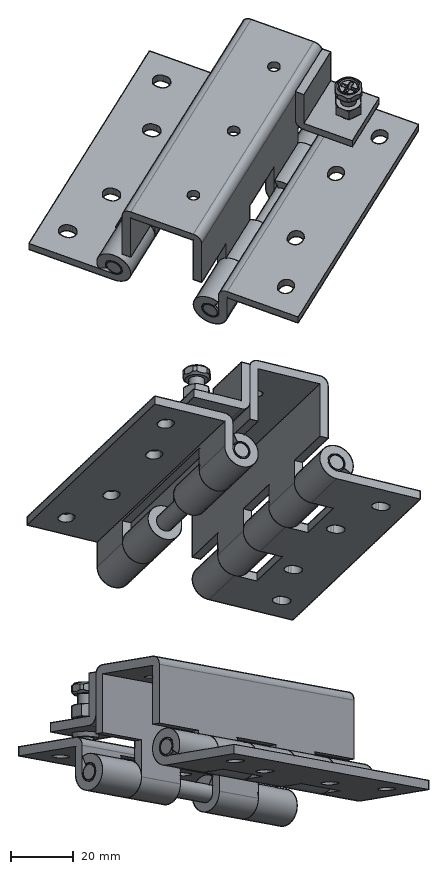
import cadquery as cq
import math

overall_width = 95.0
hinge_length = 90.0
overall_height = 40.0

knuckle_radius = 6.0
sheet = knuckle_radius / 2
pin_radius = knuckle_radius - sheet
pin_chamfer = 0.5
lip_gap_angle = 1.0
clearance = 2.0

segment_count = 5
segment = hinge_length / segment_count
half_length = hinge_length / 2

channel_left = 33.0
channel_gap = 22.0
inner_left = channel_left + sheet
inner_right = inner_left + channel_gap
channel_right = inner_right + sheet
channel_hole_diameter = 4.0
channel_hole_offset = 18.05
channel_hole_pitch = 30.0

left_axis_x = inner_left - knuckle_radius
left_axis_z = 10.0
right_axis_x = inner_right + knuckle_radius
right_axis_z = knuckle_radius

notch_top = left_axis_z + knuckle_radius + clearance
right_leaf_top = 18.0

slot_length = 6.0
slot_width = 5.0
slot_places = [(9.0, 35.0), (15.0, 15.0)]

bracket_side = 20.0
bracket_height = 17.0
bracket_top = overall_height - clearance
bracket_bottom = bracket_top - bracket_height
collar_height = 1.5
collar_top_radius = 4.5
collar_bottom_radius = 4.0

screw_x = channel_right + 14.0
screw_y = half_length - bracket_side / 2
screw_turn = -3.0
shank_radius = 2.6
screw_tip_z = 18.6
head_bottom_z = 33.6
head_height = 3.5
head_flats = 8.5
head_radius = 4.6
head_chamfer = 0.9
dish_rim_radius = 3.2
dish_floor_radius = 2.85
dish_depth = 0.6
recess_arm_width = 1.2
recess_top_reach = 2.4
recess_bottom_reach = recess_arm_width / 2
recess_depth = 1.5
nut_flats = 8.0
nut_bottom_z = 26.0
nut_height = 4.0
nut_chamfer_width = 0.5
nut_chamfer_height = 0.3


def box(x_range, y_range, z_range):
    (x0, x1), (y0, y1), (z0, z1) = x_range, y_range, z_range
    return cq.Workplane("XY").box(x1 - x0, y1 - y0, z1 - z0, centered=False).translate((x0, y0, z0))


def segment_range(first, last):
    """Y range from the start of one knuckle segment to the end of another, counted from -Y."""
    return (-half_length + first * segment, -half_length + (last + 1) * segment)


def along_y(profile, y_range):
    """Extrude a profile drawn on the XZ plane over a Y range."""
    y0, y1 = y_range
    return profile.extrude(-(y1 - y0)).translate((0, y0, 0))


def rolled_knuckle(axis_x, axis_z, start_angle, turn, y_range):
    """Sheet rolled around a hinge axis until its lip comes back to the flat of the sheet.

    The roll starts where the flat is tangent and runs anticlockwise for turn = 1,
    clockwise for turn = -1, as seen from -Y.
    """
    lip_angle = math.degrees(math.asin(pin_radius / knuckle_radius))
    sweep = 270 + lip_angle - lip_gap_angle

    def point(radius, swept):
        angle = math.radians(start_angle + turn * swept)
        return (axis_x + radius * math.cos(angle), axis_z + radius * math.sin(angle))

    profile = (
        cq.Workplane("XZ")
        .moveTo(*point(knuckle_radius, 0))
        .threePointArc(point(knuckle_radius, sweep / 2), point(knuckle_radius, sweep))
        .lineTo(*point(pin_radius, sweep))
        .threePointArc(point(pin_radius, sweep / 2), point(pin_radius, 0))
        .close()
    )
    return along_y(profile, y_range)


def slot_cutters(edge_x, inward, angle):
    """Mounting slots of one leaf; inward is the X direction away from its outer edge (1 or -1)."""
    places = [
        (edge_x + inward * offset, side * y) for offset, y in slot_places for side in (-1, 1)
    ]
    slots = cq.Workplane("XY").pushPoints(places).slot2D(slot_length, slot_width, angle)
    return slots.extrude(overall_height)


def corner_diameter(flats):
    return flats / math.cos(math.radians(30))


def hexagon(flats, bottom_z, height):
    """Hexagonal prism about Z with two of its corners in the X direction."""
    return cq.Workplane("XY").polygon(6, corner_diameter(flats)).extrude(height).translate((0, 0, bottom_z))


def revolved(points):
    """Solid of revolution about Z from (radius, z) points."""
    return cq.Workplane("XZ").polyline(points).close().revolve(360, (0, 0), (0, 1))


def place_on_screw_axis(body):
    return body.rotate((0, 0, 0), (0, 0, 1), screw_turn).translate((screw_x, screw_y, 0))


def make_left_leaf():
    bottom = left_axis_z - knuckle_radius
    full_length = (-half_length, half_length)
    leaf = box((0, left_axis_x), full_length, (bottom, bottom + sheet))
    notch_edge = left_axis_x - knuckle_radius - clearance
    for index in (1, 3):
        notch = box((notch_edge, left_axis_x), segment_range(index, index), (0, left_axis_z))
        leaf = leaf.cut(notch)
    for index in (0, 2, 4):
        leaf = leaf.union(rolled_knuckle(left_axis_x, left_axis_z, -90, 1, segment_range(index, index)))
    return leaf.cut(slot_cutters(0, 1, 0))


def make_right_leaf():
    """Z-shaped leaf with a knuckle at each end; its open middle leaves the pin bare."""
    wall_right = right_axis_x + knuckle_radius
    wall_left = wall_right - sheet
    outline = (
        cq.Workplane("XZ")
        .moveTo(wall_right, right_axis_z)
        .lineTo(wall_right, right_leaf_top - sheet)
        .lineTo(overall_width, right_leaf_top - sheet)
        .lineTo(overall_width, right_leaf_top)
        .lineTo(wall_right, right_leaf_top)
        .radiusArc((wall_left, right_leaf_top - sheet), -sheet)
        .lineTo(wall_left, right_axis_z)
        .close()
    )
    leaf = along_y(outline, (-half_length, half_length))
    notch_height = right_axis_z + knuckle_radius + clearance
    leaf = leaf.cut(box((wall_left, wall_right), segment_range(1, 3), (0, notch_height)))
    for index in (0, 4):
        leaf = leaf.union(rolled_knuckle(right_axis_x, right_axis_z, 0, -1, segment_range(index, index)))
    return leaf.cut(slot_cutters(overall_width, -1, 90))


def make_channel():
    full_length = (-half_length, half_length)
    channel = box((channel_left, channel_right), full_length, (notch_top, overall_height))
    channel = channel.edges("|Y and >Z").fillet(sheet)
    channel = channel.cut(box((inner_left, inner_right), full_length, (notch_top, overall_height - sheet)))
    for index in (1, 3):
        y_range = segment_range(index, index)
        left_tab = box((channel_left, inner_left), y_range, (left_axis_z, notch_top))
        left_roll = rolled_knuckle(left_axis_x, left_axis_z, 0, -1, y_range)
        right_tab = box((inner_right, channel_right), y_range, (right_axis_z, notch_top))
        right_roll = rolled_knuckle(right_axis_x, right_axis_z, 180, 1, y_range)
        channel = channel.union(left_tab).union(left_roll).union(right_tab).union(right_roll)
    hole_x = channel_left + channel_hole_offset
    holes = (
        cq.Workplane("XY")
        .pushPoints([(hole_x, row * channel_hole_pitch) for row in (-1, 0, 1)])
        .circle(channel_hole_diameter / 2)
        .extrude(overall_height)
    )
    return channel.cut(holes)


def make_pin(axis_x, axis_z):
    profile = cq.Workplane("XZ").center(axis_x, axis_z).circle(pin_radius)
    return along_y(profile, (-half_length, half_length)).faces("|Y").chamfer(pin_chamfer)


def make_bracket():
    """Angle on the channel wall with a tapered collar under its screw hole."""
    y_range = (half_length - bracket_side, half_length)
    x_range = (channel_right, channel_right + bracket_side)
    bracket = box(x_range, y_range, (bracket_bottom, bracket_top))
    bracket = bracket.edges("|Y and <X and <Z").fillet(sheet)
    inside = box(
        (channel_right + sheet, channel_right + bracket_side), y_range, (bracket_bottom + sheet, bracket_top)
    )
    bracket = bracket.cut(inside)
    collar = revolved([
        (0, bracket_bottom),
        (collar_top_radius, bracket_bottom),
        (collar_bottom_radius, bracket_bottom - collar_height),
        (0, bracket_bottom - collar_height),
    ])
    bracket = bracket.union(collar.translate((screw_x, screw_y, 0)))
    screw_hole = cq.Workplane("XY").center(screw_x, screw_y).circle(shank_radius).extrude(overall_height)
    return bracket.cut(screw_hole)


def make_head():
    """Hexagon head with rounded-off corners, chamfered ends, a dished top and a cross recess."""
    face_radius = head_radius - head_chamfer
    top = head_bottom_z + head_height
    envelope = revolved([
        (0, head_bottom_z),
        (face_radius, head_bottom_z),
        (head_radius, head_bottom_z + head_chamfer),
        (head_radius, top - head_chamfer),
        (face_radius, top),
        (0, top),
    ])
    dish_floor = top - dish_depth
    dish = revolved([(0, dish_floor), (dish_floor_radius, dish_floor), (dish_rim_radius, top), (0, top)])
    recess_bottom = dish_floor - recess_depth
    arm = (
        cq.Workplane("XZ")
        .polyline([
            (-recess_bottom_reach, recess_bottom),
            (recess_bottom_reach, recess_bottom),
            (recess_top_reach, dish_floor),
            (-recess_top_reach, dish_floor),
        ])
        .close()
        .extrude(recess_arm_width / 2, both=True)
    )
    cross = arm.union(arm.rotate((0, 0, 0), (0, 0, 1), 90))
    return hexagon(head_flats, head_bottom_z, head_height).intersect(envelope).cut(dish).cut(cross)


def make_screw():
    shank_length = head_bottom_z - screw_tip_z
    shank = cq.Workplane("XY").circle(shank_radius).extrude(shank_length).translate((0, 0, screw_tip_z))
    return place_on_screw_axis(make_head().union(shank))


def make_nut():
    """Lock nut with its upper corners chamfered."""
    corner_radius = corner_diameter(nut_flats) / 2
    top = nut_bottom_z + nut_height
    envelope = revolved([
        (shank_radius, nut_bottom_z),
        (corner_radius, nut_bottom_z),
        (corner_radius, top - nut_chamfer_height),
        (corner_radius - nut_chamfer_width, top),
        (shank_radius, top),
    ])
    return place_on_screw_axis(hexagon(nut_flats, nut_bottom_z, nut_height).intersect(envelope))


left_leaf = make_left_leaf()
right_leaf = make_right_leaf()
channel = make_channel()
bracket = make_bracket()
screw = make_screw()
nut = make_nut()

hinge_axes = [(left_axis_x, left_axis_z), (right_axis_x, right_axis_z)]
pins = [make_pin(axis_x, axis_z).val() for axis_x, axis_z in hinge_axes]

result = cq.Compound.makeCompound([
    left_leaf.val(),
    right_leaf.val(),
    channel.val(),
    bracket.val(),
    screw.val(),
    nut.val(),
    *pins,
])